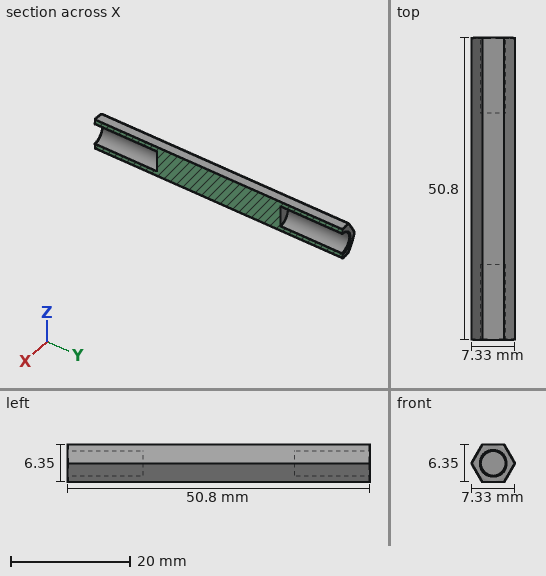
import cadquery as cq
import math

length = 50.8
across_flats = 6.35
across_corners = across_flats / math.cos(math.radians(30))

end_face_diameter = 6.03
corner_chamfer_depth = 0.125

hole_diameter = 4.2
hole_mouth_diameter = 4.45
hole_depth = 12.7
mouth_chamfer_depth = (hole_mouth_diameter - hole_diameter) / 2


def revolve_about_y(points):
    """Revolve a closed (radius, y) outline about the Y axis."""
    return cq.Workplane("XY").polyline(points).close().revolve(360, (0, 0, 0), (0, 1, 0))


def make_hexagonal_bar():
    """Hexagonal bar centred on the origin, corners on +X and -X."""
    return cq.Workplane("XZ").polygon(6, across_corners).extrude(length / 2, both=True)


def make_chamfer_envelope():
    """Round bar with coned ends that trims the hexagon corners."""
    end_y = length / 2
    shoulder_y = end_y - corner_chamfer_depth
    end_radius = end_face_diameter / 2
    corner_radius = across_corners / 2
    return revolve_about_y([
        (0, -end_y),
        (end_radius, -end_y),
        (corner_radius, -shoulder_y),
        (corner_radius, shoulder_y),
        (end_radius, end_y),
        (0, end_y),
    ])


def make_end_hole(side):
    """Flat-bottomed hole entering from the end on the given side of Y (-1 or 1)."""
    end_y = side * length / 2
    return revolve_about_y([
        (0, end_y),
        (hole_mouth_diameter / 2, end_y),
        (hole_diameter / 2, end_y - side * mouth_chamfer_depth),
        (hole_diameter / 2, end_y - side * hole_depth),
        (0, end_y - side * hole_depth),
    ])


result = make_hexagonal_bar().intersect(make_chamfer_envelope())
for side in (-1, 1):
    result = result.cut(make_end_hole(side))